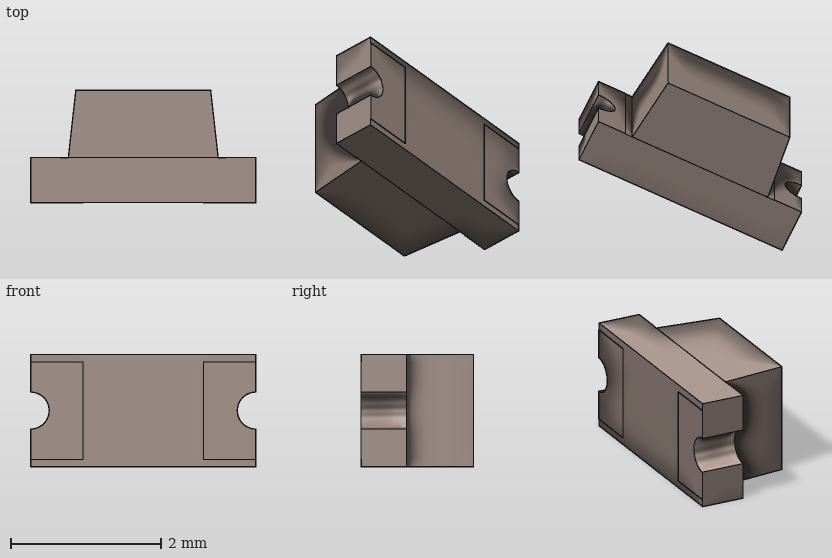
import cadquery as cq

length = 3.0
width = 1.5

board_thickness = 0.6
pad_thickness = 0.005
solder_pad_length = 0.7
solder_pad_width = 1.3
lens_side_pad_length = 0.4
bare_notch_radius = 0.25
notch_radius = bare_notch_radius - pad_thickness

lens_height = 0.9
lens_base_length = 2.0
lens_top_length = 1.8

depth = pad_thickness + board_thickness + lens_height

solder_face_y = pad_thickness - depth / 2
lens_face_y = solder_face_y + board_thickness


def block(x_size, z_size, y_start, thickness, x_center=0):
    """Box centred on Z = 0 that grows toward +Y from y_start."""
    return (
        cq.Workplane("XY")
        .box(x_size, thickness, z_size, centered=(True, False, True))
        .translate((x_center, y_start, 0))
    )


def make_board():
    """Board carrying raised pads at both ends, with a half-round notch through each end."""
    board = block(length, width, solder_face_y, board_thickness)
    for side in (-1, 1):
        solder_pad_x = side * (length - solder_pad_length) / 2
        lens_side_pad_x = side * (length - lens_side_pad_length) / 2
        board = board.union(
            block(solder_pad_length, solder_pad_width, -depth / 2, pad_thickness, solder_pad_x)
        )
        board = board.union(
            block(lens_side_pad_length, width, lens_face_y, pad_thickness, lens_side_pad_x)
        )
    notches = (
        cq.Workplane("XZ", origin=(0, depth / 2, 0))
        .pushPoints([(-length / 2, 0), (length / 2, 0)])
        .circle(notch_radius)
        .extrude(depth)
    )
    return board.cut(notches)


def make_lens():
    """Trapezoid lens, full board width, standing on the +Y board face."""
    return (
        cq.Workplane("XY", origin=(0, 0, -width / 2))
        .moveTo(-lens_base_length / 2, lens_face_y)
        .lineTo(lens_base_length / 2, lens_face_y)
        .lineTo(lens_top_length / 2, depth / 2)
        .lineTo(-lens_top_length / 2, depth / 2)
        .close()
        .extrude(width)
    )


board = make_board()
lens = make_lens()

result = cq.Compound.makeCompound([board.solids().val(), lens.val()])